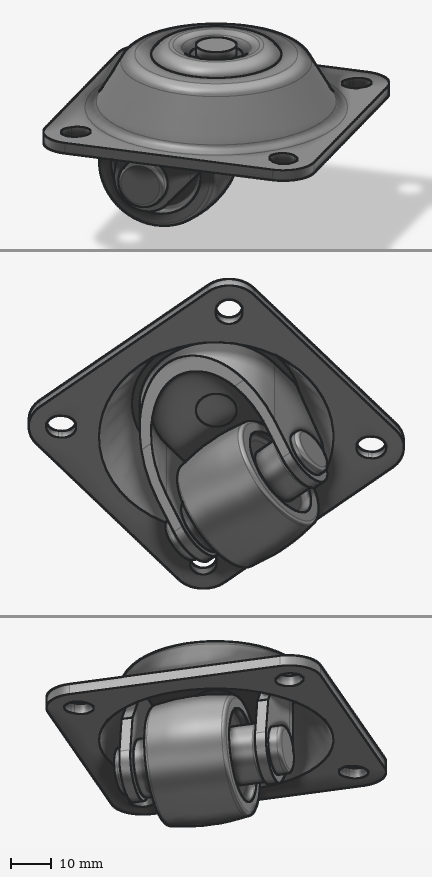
import cadquery as cq
import math


flange_size = 70.0
flange_corner_radius = 8.0
sheet_thickness = 2.8

slot_position = 27.0
slot_width = 6.5
slot_length = 7.35

dome_slope = math.radians(60)
shoulder_height = 16.8
shoulder_radius = 20.0
dome_top_fillet = 4.0
dome_foot_fillet = 3.2

cap_height = 2.5
cap_base_radius = 16.0
cap_fillet = cap_height / (1 - math.cos(dome_slope))

dish_slope = math.radians(40.5)
dish_rim_radius = 10.65
dish_fillet = 3.3
dish_floor_radius = 6.5

king_pin_radius = 5.0

yoke_thickness = 2.8
yoke_inner_half_width = 16.0
leg_end_radius = 8.0
leg_front_x = 8.9
leg_front_slope = math.radians(48)
leg_rear_x = -18.0
yoke_top_rear_x = -8.0

wheel_x = -12.0
wheel_z = -11.2
wheel_radius = 16.0
wheel_half_width = 10.5
tread_edge_radius = 15.1
tread_half_width = 9.6
wheel_face_radius = 14.15
recess_radius = 11.65
recess_fillet = 1.5
recess_depth = 2.0
hub_radius = 7.3
hub_end_fillet = 0.4
hub_half_width = 15.5
axle_radius = 4.0
axle_head_radius = 6.0
axle_rear_y = 21.0
axle_front_y = -22.0
axle_head_fillet = 1.0

hood_top_z = shoulder_height + cap_height
ceiling_z = shoulder_height - sheet_thickness
yoke_outer_radius = yoke_inner_half_width + yoke_thickness
yoke_plate_bottom_z = ceiling_z - yoke_thickness


def arc_point(center, radius, angle):
    """Point on a circle, with the angle measured from the first axis."""
    return (center[0] + radius * math.cos(angle), center[1] + radius * math.sin(angle))


def hood_profile():
    """Half section (radius, Z) of the solid dome, cap and dish, closed on the axis."""
    quarter = math.pi / 2
    wall_angle = quarter - dome_slope
    dish_wall_angle = quarter + dish_slope

    shoulder_center = (shoulder_radius, shoulder_height - dome_top_fillet)
    dome_top = arc_point(shoulder_center, dome_top_fillet, wall_angle)
    foot_center_z = sheet_thickness + dome_foot_fillet
    dome_bottom_z = foot_center_z - dome_foot_fillet * math.sin(wall_angle)
    dome_bottom_radius = dome_top[0] + (dome_top[1] - dome_bottom_z) / math.tan(dome_slope)
    foot_center = (dome_bottom_radius + dome_foot_fillet * math.cos(wall_angle), foot_center_z)

    cap_flat_radius = cap_base_radius - cap_fillet * math.sin(dome_slope)
    cap_center = (cap_flat_radius, hood_top_z - cap_fillet)
    dish_center = (dish_rim_radius, hood_top_z - dish_fillet)

    return (
        cq.Workplane("XZ")
        .moveTo(0, 0)
        .lineTo(foot_center[0], 0)
        .lineTo(foot_center[0], sheet_thickness)
        .threePointArc(
            arc_point(foot_center, dome_foot_fillet, -quarter - dome_slope / 2),
            (dome_bottom_radius, dome_bottom_z),
        )
        .lineTo(*dome_top)
        .threePointArc(
            arc_point(shoulder_center, dome_top_fillet, quarter - dome_slope / 2),
            (shoulder_radius, shoulder_height),
        )
        .lineTo(cap_base_radius, shoulder_height)
        .threePointArc(
            arc_point(cap_center, cap_fillet, quarter - dome_slope / 2),
            (cap_flat_radius, hood_top_z),
        )
        .lineTo(dish_rim_radius, hood_top_z)
        .threePointArc(
            arc_point(dish_center, dish_fillet, quarter + dish_slope / 2),
            arc_point(dish_center, dish_fillet, dish_wall_angle),
        )
        .lineTo(dish_floor_radius, shoulder_height)
        .lineTo(0, shoulder_height)
        .close()
    )


def hood_cavity():
    """Conical space under the dome, one sheet thickness inside its wall."""
    dome_top_radius = shoulder_radius + dome_top_fillet * math.sin(dome_slope)
    dome_top_z = shoulder_height - dome_top_fillet * (1 - math.cos(dome_slope))
    wall_offset = sheet_thickness / math.sin(dome_slope)

    def wall_radius(z):
        return dome_top_radius + (dome_top_z - z) / math.tan(dome_slope) - wall_offset

    outline = [(0, 0), (wall_radius(0), 0), (wall_radius(ceiling_z), ceiling_z), (0, ceiling_z)]
    return cq.Workplane("XZ").polyline(outline).close().revolve(360, (0, 0), (0, 1))


def make_hood():
    flange = (
        cq.Workplane("XY")
        .rect(flange_size, flange_size)
        .extrude(sheet_thickness)
        .edges("|Z")
        .fillet(flange_corner_radius)
    )
    dome = hood_profile().revolve(360, (0, 0), (0, 1))
    hood = flange.union(dome).cut(hood_cavity())

    for side_x in (-1, 1):
        for side_y in (-1, 1):
            slot = (
                cq.Workplane("XY")
                .center(side_x * slot_position, side_y * slot_position)
                .slot2D(slot_length, slot_width, 45 * side_x * side_y)
                .extrude(sheet_thickness)
            )
            hood = hood.cut(slot)

    return hood.cut(make_king_pin())


def make_king_pin():
    """Pin through the hood and the yoke's top plate, level with the hood's rim."""
    return (
        cq.Workplane("XY", origin=(0, 0, yoke_plate_bottom_z))
        .circle(king_pin_radius)
        .extrude(hood_top_z - yoke_plate_bottom_z)
    )


def yoke_plan(radius, bottom_z, top_z):
    """Prism with a half-round front about the swivel axis and straight sides to the rear."""
    rear_x = wheel_x - wheel_radius
    return (
        cq.Workplane("XY", origin=(0, 0, bottom_z))
        .moveTo(rear_x, -radius)
        .lineTo(0, -radius)
        .threePointArc((radius, 0), (0, radius))
        .lineTo(rear_x, radius)
        .close()
        .extrude(top_z - bottom_z)
    )


def yoke_side():
    """Side outline of the yoke: legs rounded about the axle, run out to a flat top."""
    axle_center = (wheel_x, wheel_z)
    rear_dx = leg_rear_x - wheel_x
    rear_distance = math.hypot(rear_dx, wheel_z)
    rear_angle = math.atan2(-wheel_z, rear_dx) + math.acos(leg_end_radius / rear_distance)
    front_angle = leg_front_slope - math.pi / 2
    front_top_x = leg_front_x + yoke_plate_bottom_z / math.tan(leg_front_slope)
    return (
        cq.Workplane("XZ")
        .moveTo(*arc_point(axle_center, leg_end_radius, rear_angle))
        .threePointArc(
            (wheel_x, wheel_z - leg_end_radius),
            arc_point(axle_center, leg_end_radius, front_angle),
        )
        .lineTo(leg_front_x, 0)
        .lineTo(front_top_x, yoke_plate_bottom_z)
        .lineTo(yoke_outer_radius, yoke_plate_bottom_z)
        .lineTo(yoke_outer_radius, ceiling_z)
        .lineTo(yoke_top_rear_x, ceiling_z)
        .lineTo(leg_rear_x, 0)
        .close()
        .extrude(yoke_outer_radius, both=True)
    )


def axle_cylinder(radius, front_y, rear_y):
    """Cylinder about the wheel's axis between two Y positions."""
    return (
        cq.Workplane("XZ", origin=(wheel_x, rear_y, wheel_z))
        .circle(radius)
        .extrude(rear_y - front_y)
    )


def make_yoke():
    leg_bottom_z = wheel_z - leg_end_radius
    outside = yoke_plan(yoke_outer_radius, leg_bottom_z, ceiling_z)
    inside = yoke_plan(yoke_inner_half_width, leg_bottom_z, yoke_plate_bottom_z)
    yoke = outside.cut(inside).intersect(yoke_side())
    axle_hole = axle_cylinder(axle_radius, -yoke_outer_radius, yoke_outer_radius)
    return yoke.cut(make_king_pin()).cut(axle_hole)


def make_wheel_body():
    """Crowned roller with rounded tread edges, before the hub and recesses are added."""
    diagonal = math.sin(math.pi / 4)
    edge_middle_radius = wheel_face_radius + (tread_edge_radius - wheel_face_radius) * diagonal
    edge_middle_y = tread_half_width + (wheel_half_width - tread_half_width) * diagonal
    return (
        cq.Workplane("XY", origin=(wheel_x, 0, wheel_z))
        .moveTo(0, -wheel_half_width)
        .lineTo(wheel_face_radius, -wheel_half_width)
        .threePointArc((edge_middle_radius, -edge_middle_y), (tread_edge_radius, -tread_half_width))
        .threePointArc((wheel_radius, 0), (tread_edge_radius, tread_half_width))
        .threePointArc((edge_middle_radius, edge_middle_y), (wheel_face_radius, wheel_half_width))
        .lineTo(0, wheel_half_width)
        .close()
        .revolve(360, (0, 0), (0, 1))
    )


def make_wheel():
    """Wheel with a round-bottomed recess in each face around a long hub."""
    recess_floor_y = wheel_half_width - recess_depth
    rear_recess = (
        axle_cylinder(recess_radius, recess_floor_y, wheel_half_width)
        .faces("<Y")
        .edges()
        .fillet(recess_fillet)
    )
    front_recess = rear_recess.mirror("XZ")
    hub = (
        axle_cylinder(hub_radius, -hub_half_width, hub_half_width)
        .faces("<Y or >Y")
        .edges()
        .fillet(hub_end_fillet)
    )
    bore = axle_cylinder(axle_radius, -hub_half_width, hub_half_width)
    return make_wheel_body().cut(rear_recess).cut(front_recess).union(hub).cut(bore)


def make_axle():
    """Plain shank with a rounded head outside each leg of the yoke."""
    heads = (
        axle_cylinder(axle_head_radius, axle_front_y, axle_rear_y)
        .faces("<Y or >Y")
        .edges()
        .fillet(axle_head_fillet)
    )
    between_heads = axle_cylinder(axle_head_radius, -yoke_outer_radius, yoke_outer_radius)
    shank = axle_cylinder(axle_radius, -yoke_outer_radius, yoke_outer_radius)
    return heads.cut(between_heads).union(shank)


hood = make_hood()
king_pin = make_king_pin()
yoke = make_yoke()
wheel = make_wheel()
axle = make_axle()

result = cq.Compound.makeCompound(
    [hood.val(), king_pin.val(), yoke.val(), wheel.val(), axle.val()]
)